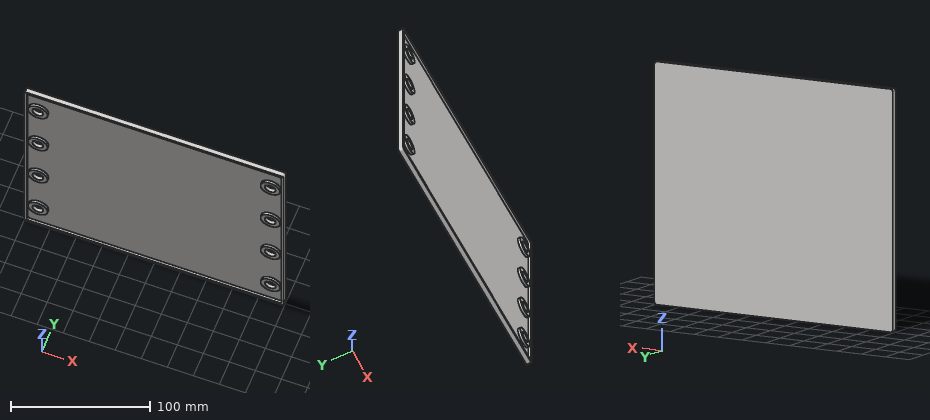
import cadquery as cq

width = 199.6
thickness = 4.0
height = 177.95
corner_radius = 2.0

rim_width = 2.0
recess_depth = 2.0
recess_corner_radius = 2.0

boss_diameter = 15.0
boss_height = recess_depth
bosses_per_column = 4
boss_pitch = height / bosses_per_column
column_inset = 10.5
column_spacing = width - 2 * column_inset

socket_diameter = 8.2
socket_depth = 3.0

front_y = -thickness / 2

front_plane = cq.Plane(origin=(0, front_y, 0), xDir=(1, 0, 0), normal=(0, 1, 0))


def rounded_slab(size_x, size_z, depth, radius):
    """Slab with rounded corners, from the rim face toward +Y."""
    slab = cq.Workplane(front_plane).rect(size_x, size_z).extrude(depth)
    return slab.edges("|Y").fillet(radius)


def cylinders(diameter, length):
    """One cylinder at each boss position, from the rim face toward +Y."""
    return (
        cq.Workplane(front_plane)
        .rarray(column_spacing, boss_pitch, 2, bosses_per_column)
        .circle(diameter / 2)
        .extrude(length)
    )


plate = rounded_slab(width, height, thickness, corner_radius)
recess = rounded_slab(
    width - 2 * rim_width,
    height - 2 * rim_width,
    recess_depth,
    recess_corner_radius,
)
bosses = cylinders(boss_diameter, boss_height)
sockets = cylinders(socket_diameter, socket_depth)

result = plate.cut(recess).union(bosses).cut(sockets)